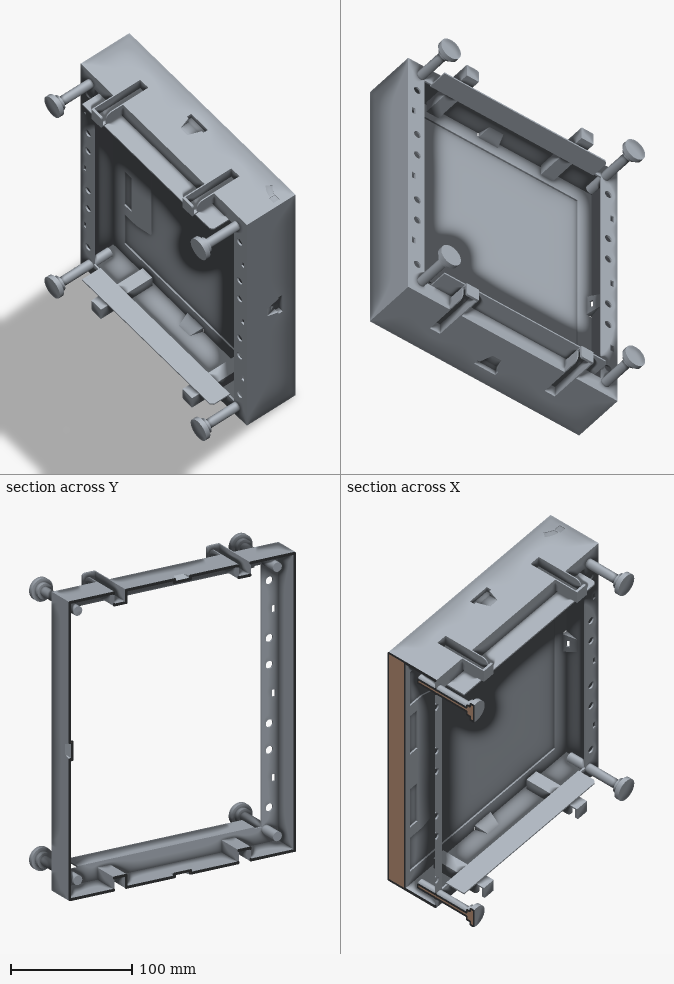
import cadquery as cq


width = 218.85
height = 264.1
housing_depth = 51.5
wall = 1.5
rear_frame_depth = 18.2
opening_width = 184.6
opening_height = 232.2

plate_width = 170.6
plate_thickness = 1.4
plate_front = 69.3
plate_corner_chamfer = 2.5

display_width = 187.0
display_height = 231.4
display_recess = 1.5
tab_width = 34.4
tab_height = 153.2
tab_tip_height = 141.2
tab_taper_start = 15.9
tab_slot_width = 9.4
tab_slot_height = 44.3
tab_slot_offset = 42.35

foot_inset = 13.1
stem_rear = 31.5
stem_diameter = 8.4
collar_diameter = 13.9
pad_diameter = 20.5
collar_rear = 83.8
pad_rear = 87.8
foot_front = 92.1

hole_diameter = 7.0
hole_x = 99.8
hole_heights = (25.9, 49.4, 100.3)
slot_x = 103.8
slot_width = 3.4
slot_height = 6.4
slot_pitch = 74.6

channel_x = 60.0
channel_width = 12.6
channel_height = 12.3
channel_side_wall = 1.0
channel_rear = 20.5
trough_rear = 24.0
channel_front = 74.8
channel_end_wall = 2.2
short_wall_front = 69.1
short_wall_radius = 6.0
end_corner_radius = 2.0

louvre_slot_rear = 13.7
louvre_slot_width = 21.8
louvre_wide = 17.5
louvre_narrow = 9.3
louvre_front = 30.2
louvre_depth = 5.0
lock_slot_rear = 20.7
lock_slot_width = 3.0
lock_slot_height = 7.0

strip_recess_depth = 0.5
strip_end_rear = (90.0, -8.7)
strip_end_front = (86.3, -13.0)
strip_front_mid = (91.5, -16.4)
strip_pad_front = (97.8, -18.2)
strip_pad_rear = (97.8, -13.3)
strip_rear_mid = (93.8, -11.5)
strip_pad_center = (101.8, -16.5)
strip_pad_size = 6.2


def front_plane(depth):
    """Plane parallel to the rear face; extrusions run toward the front (-Y)."""
    return cq.Workplane("XZ", origin=(0, -depth, 0))


def block(size_x, size_z, rear, front, x=0.0, z=0.0):
    """Rectangular block between two depths."""
    return front_plane(rear).center(x, z).rect(size_x, size_z).extrude(front - rear)


def turned(body):
    """Copy of a body turned half a turn about the Y axis."""
    return body.rotate((0, 0, 0), (0, 1, 0), 180)


def make_shell():
    shell = block(width, height, 0, housing_depth)
    cavity = block(width - 2 * wall, height - 2 * wall, rear_frame_depth, housing_depth - wall)
    opening = block(opening_width, opening_height, rear_frame_depth, housing_depth)
    window = block(display_width, display_height, 0, rear_frame_depth)
    return shell.cut(cavity).cut(opening).cut(window)


def make_support_plate():
    plate_z = (opening_height - plate_thickness) / 2
    plate = block(plate_width, plate_thickness, housing_depth - wall, plate_front, z=plate_z)
    plate = plate.union(
        block(plate_width, plate_thickness + wall, housing_depth - wall, housing_depth, z=plate_z + wall / 2)
    )
    return plate.edges("|Z and >X and <Y").chamfer(plate_corner_chamfer)


def make_foot(x, z):
    foot = front_plane(stem_rear).center(x, z).circle(stem_diameter / 2)
    foot = foot.extrude(collar_rear - stem_rear)
    collar = front_plane(collar_rear).center(x, z).circle(collar_diameter / 2)
    pad = front_plane(pad_rear).center(x, z).circle(pad_diameter / 2)
    return foot.union(collar.extrude(pad_rear - collar_rear)).union(pad.extrude(foot_front - pad_rear))


def make_channel(x):
    """Solid outside of a hook channel in the top wall, notched and rounded on its +X side."""
    center_z = (height - channel_height) / 2
    floor_z = height / 2 - channel_height + wall / 2
    end_wall_rear = channel_front - channel_end_wall
    long_wall_x = x - (channel_width - channel_side_wall) / 2

    end_wall = block(channel_width, channel_height, end_wall_rear, channel_front, x, center_z)
    end_wall = end_wall.edges("|Y and >X and >Z").fillet(end_corner_radius)
    channel = block(channel_width, channel_height, channel_rear, short_wall_front, x, center_z)
    channel = channel.edges("|X and <Y and >Z").fillet(short_wall_radius)
    long_wall = block(channel_side_wall, channel_height, channel_rear, channel_front, long_wall_x, center_z)
    floor = block(channel_width, wall, channel_rear, channel_front, x, floor_z)
    return channel.union(long_wall).union(floor).union(end_wall)


def make_channel_trough(x):
    trough_width = channel_width - 2 * channel_side_wall
    trough_height = channel_height - wall
    trough_z = (height - trough_height) / 2
    return block(trough_width, trough_height, trough_rear, channel_front - channel_end_wall, x, trough_z)


def louvre_ramp(wide, narrow, front, depth):
    """Wedge below Z = 0: deepest at the rear frame, fading out toward the front."""
    rear = rear_frame_depth
    plan = cq.Workplane("XY").polyline(
        [(-wide / 2, -rear), (wide / 2, -rear), (narrow / 2, -front), (-narrow / 2, -front)]
    )
    profile = cq.Workplane("YZ").polyline([(-rear, 0), (-front, 0), (-rear, -depth)])
    return plan.close().extrude(-depth).intersect(profile.close().extrude(wide / 2, both=True))


def make_louvre_outside():
    return louvre_ramp(
        louvre_wide + 2 * wall, louvre_narrow + 2 * wall, louvre_front + 2 * wall, louvre_depth + wall
    )


def make_louvre_pocket():
    slot = block(louvre_slot_width, louvre_depth, louvre_slot_rear, rear_frame_depth, z=-louvre_depth / 2)
    return slot.union(louvre_ramp(louvre_wide, louvre_narrow, louvre_front, louvre_depth))


def on_louvred_walls(body):
    """Copies of a body, shaped on Z = 0, on the top, bottom and +X walls."""
    top = body.translate((0, 0, height / 2))
    side = body.rotate((0, 0, 0), (0, 1, 0), 90).translate((width / 2, 0, 0))
    return [top, turned(top), side]


def make_lock_slot():
    """Slot through the +X louvre."""
    x = width / 2 - louvre_depth
    lock_slot_front = lock_slot_rear + lock_slot_width
    return block(2 * louvre_depth, lock_slot_height, lock_slot_rear, lock_slot_front, x)


def make_strip_recess():
    """Shallow curved strip and pad sunk in the top face."""
    top = cq.Workplane("XY", origin=(0, 0, height / 2))
    strip = (
        top.moveTo(*strip_end_rear)
        .lineTo(*strip_end_front)
        .threePointArc(strip_front_mid, strip_pad_front)
        .lineTo(*strip_pad_rear)
        .threePointArc(strip_rear_mid, strip_end_rear)
        .close()
        .extrude(-strip_recess_depth)
    )
    pad = top.center(*strip_pad_center).rect(strip_pad_size, strip_pad_size)
    return strip.union(pad.extrude(-strip_recess_depth))


def make_flange_holes():
    """Round holes and small upright slots through both side flanges."""
    hole_points = [
        (side * hole_x, end * z) for side in (-1, 1) for end in (-1, 1) for z in hole_heights
    ]
    slot_points = [(side * slot_x, row * slot_pitch) for side in (-1, 1) for row in (-1, 0, 1)]
    flange = front_plane(housing_depth - wall)
    holes = flange.pushPoints(hole_points).circle(hole_diameter / 2).extrude(wall)
    slots = flange.pushPoints(slot_points).rect(slot_width, slot_height).extrude(wall)
    return holes.union(slots)


def make_housing():
    housing = make_shell()
    plate = make_support_plate()
    housing = housing.union(plate).union(plate.mirror("XY"))
    for x in (-channel_x, channel_x):
        channel = make_channel(x)
        housing = housing.union(channel).union(turned(channel))
    for louvre in on_louvred_walls(make_louvre_outside()):
        housing = housing.union(louvre)
    for x in (-channel_x, channel_x):
        trough = make_channel_trough(x)
        housing = housing.cut(trough).cut(turned(trough))
    for pocket in on_louvred_walls(make_louvre_pocket()):
        housing = housing.cut(pocket)
    housing = housing.cut(make_lock_slot()).cut(make_strip_recess()).cut(make_flange_holes())
    foot_x = width / 2 - foot_inset
    foot_z = height / 2 - foot_inset
    for x in (-foot_x, foot_x):
        for z in (-foot_z, foot_z):
            housing = housing.union(make_foot(x, z))
    return housing


def make_display():
    """Display module filling the window, with a tapered tab along its -X edge."""
    face_depth = rear_frame_depth - display_recess
    display = block(display_width, display_height, 0, face_depth)
    edge_x = -display_width / 2
    tab = front_plane(face_depth).polyline(
        [
            (edge_x, tab_height / 2),
            (edge_x + tab_taper_start, tab_height / 2),
            (edge_x + tab_width, tab_tip_height / 2),
            (edge_x + tab_width, -tab_tip_height / 2),
            (edge_x + tab_taper_start, -tab_height / 2),
            (edge_x, -tab_height / 2),
        ]
    )
    display = display.union(tab.close().extrude(display_recess))
    for z in (-tab_slot_offset, tab_slot_offset):
        slot_center_x = edge_x + tab_slot_width / 2
        display = display.cut(
            block(tab_slot_width, tab_slot_height, face_depth, rear_frame_depth, slot_center_x, z)
        )
    return display


housing = make_housing()
display = make_display()

result = cq.Compound.makeCompound([housing.val(), display.val()])